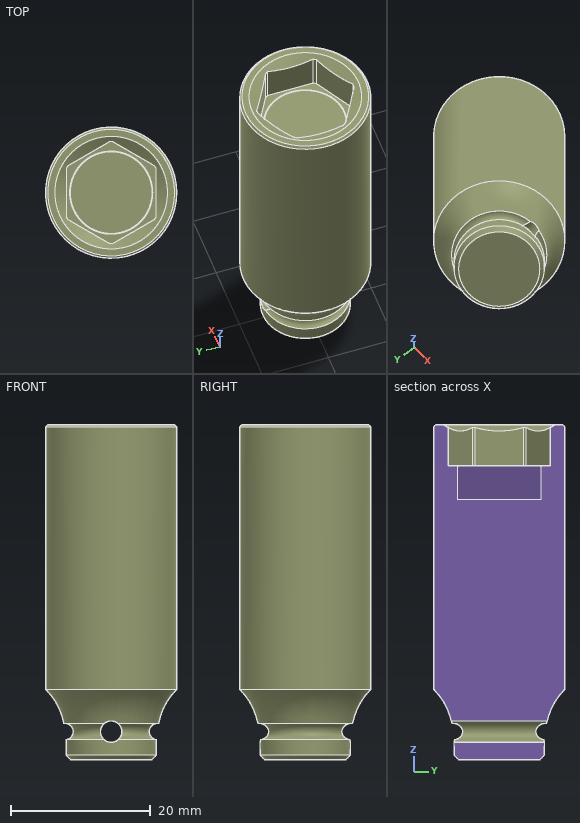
import cadquery as cq
import math

TOTAL_HEIGHT = 48.0
BODY_RADIUS = 9.4
RIM_CHAMFER = 0.35

COLLAR_RADIUS = 6.5
COLLAR_CHAMFER = 0.65
GROOVE_CENTER_Z = 4.05
GROOVE_HALF_WIDTH = 1.15
GROOVE_FLOOR_RADIUS = 5.45
NECK_RADIUS = 6.8
FLARE_TOP_Z = 10.1
FLARE_SAG = 0.45
PIN_HOLE_DIAMETER = 3.0

HEX_ACROSS_FLATS = 12.85
HEX_CORNER_RADIUS = 7.3
SOCKET_DEPTH = 5.9
MOUTH_RADIUS = 8.05
LEAD_IN_ANGLE = 30.0

INSERT_RADIUS = 5.95
INSERT_LENGTH = 4.8
INSERT_CHAMFER = 0.1

SOCKET_FLOOR_Z = TOTAL_HEIGHT - SOCKET_DEPTH
INSERT_BOTTOM_Z = SOCKET_FLOOR_Z - INSERT_LENGTH


def cylinder(radius, height, base_z):
    return cq.Workplane("XY").workplane(offset=base_z).circle(radius).extrude(height)


def make_outer_shape():
    """Revolve the stepped outer outline about the Z axis."""
    groove_bottom_z = GROOVE_CENTER_Z - GROOVE_HALF_WIDTH
    groove_top_z = GROOVE_CENTER_Z + GROOVE_HALF_WIDTH
    run = BODY_RADIUS - NECK_RADIUS
    rise = FLARE_TOP_Z - groove_top_z
    chord = math.hypot(run, rise)
    flare_mid = (
        (NECK_RADIUS + BODY_RADIUS) / 2 - FLARE_SAG * rise / chord,
        (groove_top_z + FLARE_TOP_Z) / 2 + FLARE_SAG * run / chord,
    )
    outline = (
        cq.Workplane("XZ")
        .lineTo(COLLAR_RADIUS - COLLAR_CHAMFER, 0)
        .lineTo(COLLAR_RADIUS, COLLAR_CHAMFER)
        .lineTo(COLLAR_RADIUS, groove_bottom_z)
        .threePointArc((GROOVE_FLOOR_RADIUS, GROOVE_CENTER_Z), (COLLAR_RADIUS, groove_top_z))
        .lineTo(NECK_RADIUS, groove_top_z)
        .threePointArc(flare_mid, (BODY_RADIUS, FLARE_TOP_Z))
        .lineTo(BODY_RADIUS, TOTAL_HEIGHT - RIM_CHAMFER)
        .lineTo(BODY_RADIUS - RIM_CHAMFER, TOTAL_HEIGHT)
        .lineTo(0, TOTAL_HEIGHT)
        .close()
    )
    return outline.revolve(360, (0, 0, 0), (0, 1, 0))


def make_hex_socket():
    """Hexagon with corners on the Y axis, its corners trimmed by a cylinder."""
    across_corners = HEX_ACROSS_FLATS / math.cos(math.pi / 6)
    hexagon = (
        cq.Workplane("XY")
        .workplane(offset=SOCKET_FLOOR_Z)
        .transformed(rotate=(0, 0, 90))
        .polygon(6, across_corners)
        .extrude(SOCKET_DEPTH)
    )
    return hexagon.intersect(cylinder(HEX_CORNER_RADIUS, SOCKET_DEPTH, SOCKET_FLOOR_Z))


def make_lead_in():
    """Cone that opens the top of the hexagon."""
    cone_height = MOUTH_RADIUS * math.tan(math.radians(LEAD_IN_ANGLE))
    return (
        cq.Workplane("XZ")
        .moveTo(0, TOTAL_HEIGHT - cone_height)
        .lineTo(MOUTH_RADIUS, TOTAL_HEIGHT)
        .lineTo(0, TOTAL_HEIGHT)
        .close()
        .revolve(360, (0, 0, 0), (0, 1, 0))
    )


def make_pin_hole():
    """Cross hole along Y through the ring groove."""
    return (
        cq.Workplane("XZ")
        .center(0, GROOVE_CENTER_Z)
        .circle(PIN_HOLE_DIAMETER / 2)
        .extrude(BODY_RADIUS, both=True)
    )


def make_socket():
    return (
        make_outer_shape()
        .cut(make_hex_socket())
        .cut(make_lead_in())
        .cut(cylinder(INSERT_RADIUS, INSERT_LENGTH, INSERT_BOTTOM_Z))
        .cut(make_pin_hole())
    )


def make_insert():
    """Round insert flush with the socket floor, with a fine chamfer on its top edge."""
    return cylinder(INSERT_RADIUS, INSERT_LENGTH, INSERT_BOTTOM_Z).faces(">Z").chamfer(INSERT_CHAMFER)


socket = make_socket()
insert = make_insert()

result = cq.Compound.makeCompound([socket.val(), insert.val()])